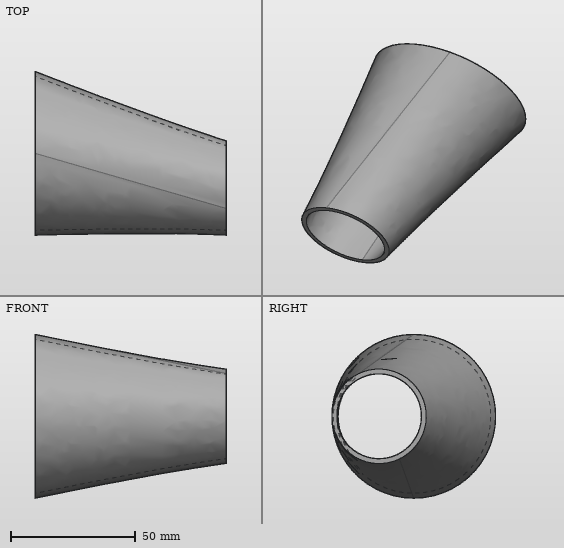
import cadquery as cq
import math

length = 77.0
large_diameter = 66.0
small_diameter = 38.0
wall = 2.0
twist = 25.6

small_end_y = -(large_diameter - small_diameter) / 2
large_center = cq.Vector(0, 0, 0)
small_center = cq.Vector(length, small_end_y, 0)


def half_circle(center, radius, start_angle):
    """Half circle in a YZ plane; angles run from +Y toward +Z."""
    points = []
    for sweep in (0, 90, 180):
        angle = math.radians(start_angle + sweep)
        points.append(center + cq.Vector(0, radius * math.cos(angle), radius * math.sin(angle)))
    return cq.Edge.makeThreePointArc(*points)


def twisted_cone(inset):
    """Solid between the end circles, each reduced in radius by the inset."""
    large_radius = large_diameter / 2 - inset
    small_radius = small_diameter / 2 - inset
    large_arcs = []
    small_arcs = []
    for seam_angle in (90, 270):
        large_arcs.append(half_circle(large_center, large_radius, seam_angle))
        small_arcs.append(half_circle(small_center, small_radius, seam_angle + twist))
    faces = [cq.Face.makeRuledSurface(a, b) for a, b in zip(large_arcs, small_arcs)]
    for arcs in (large_arcs, small_arcs):
        faces.append(cq.Face.makeFromWires(cq.Wire.assembleEdges(arcs)))
    solid = cq.Solid.makeSolid(cq.Shell.makeShell(faces))
    return cq.Workplane("XY").newObject([solid.fix()])


result = twisted_cone(0).cut(twisted_cone(wall))